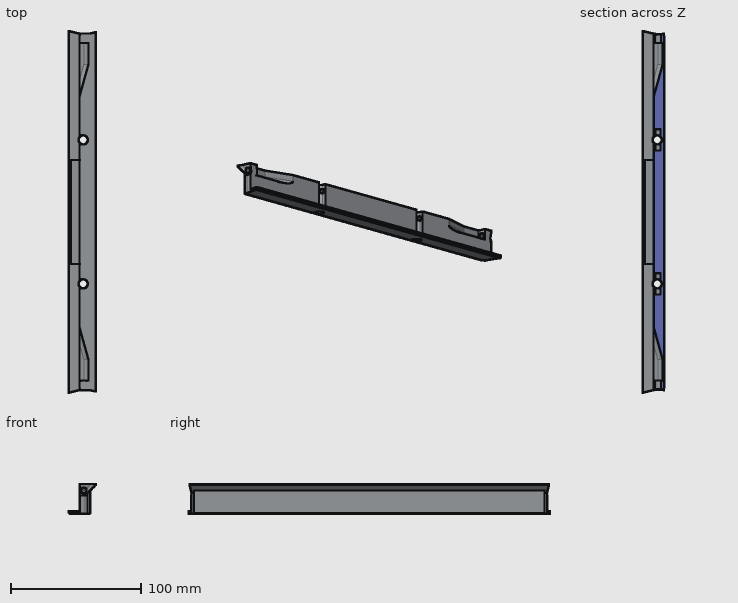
import cadquery as cq
import math

WIDTH = 21.0
LENGTH = 278.0
HEIGHT = 22.9
HALF_LENGTH = LENGTH / 2

FLANGE_THICKNESS = 2.0
FLANGE_CHAMFER = 1.1
WALL_LEFT = 8.4
WALL_RIGHT = 16.7
WALL_CHAMFER = 0.8
LIP_TIP = 0.6
LIP_OVERHANG = WIDTH - WALL_RIGHT
LIP_ROOT_Z = HEIGHT - LIP_TIP - LIP_OVERHANG

FOLD_LEFT = 12.5
FOLD_RIGHT = 14.2
FOLD_DROP = 2.5
WALL_DROP = 2.0
LIP_TIP_DROP = 0.85
GROOVE_BOTTOM_Z = 14.2
GROOVE_DEEPEST_Z = 16.5
GROOVE_TOP_DROP = 1.85
GROOVE_BOTTOM_DROP = 2.2
GROOVE_DEEPEST_DROP = 3.1

STEP_LEFT = 14.6
STEP_DROP = 4.2

CHANNEL_X = 11.7
CHANNEL_Z = 17.9
CHANNEL_WIDTH = 6.88
CHANNEL_RADIUS = CHANNEL_WIDTH / 2
POCKET_OUTER_Y = 129.7
POCKET_BEND_Y = 113.4
POCKET_TURN = 15.5
POCKET_TURN_LENGTH = 35.0
END_HOLE_DIAMETER = 4.4

SLOT_X = 11.2
SLOT_Y = 55.3
SLOT_WIDTH = 6.88
CROSS_HOLE_DIAMETER = 3.4
CROSS_HOLE_REACH = 8.0

RECESS_HALF_LENGTH = 40.0
RECESS_LEFT = 1.8
RECESS_DEPTH = 0.4
UNDERCUT_HEIGHT = 2.0
UNDERCUT_DEPTH = 1.2

OVERSHOOT = 5.0


def make_bar():
    """Extrude the cross-section along Y, centred on Y = 0."""
    outline = [
        (FLANGE_CHAMFER, 0),
        (WALL_RIGHT - WALL_CHAMFER, 0),
        (WALL_RIGHT, WALL_CHAMFER),
        (WALL_RIGHT, LIP_ROOT_Z),
        (WIDTH, HEIGHT - LIP_TIP),
        (WIDTH, HEIGHT),
        (WALL_LEFT, HEIGHT),
        (WALL_LEFT, FLANGE_THICKNESS),
        (0, FLANGE_THICKNESS),
        (0, FLANGE_CHAMFER),
    ]
    section = cq.Workplane("XZ").polyline(outline).close()
    return section.extrude(HALF_LENGTH, both=True)


def make_end_fold():
    """Upright prism beyond the +Y end, up to the groove: the end slopes inwards to a fold."""
    beyond = HALF_LENGTH + OVERSHOOT
    outline = [
        (0, HALF_LENGTH),
        (WALL_LEFT, HALF_LENGTH - WALL_DROP),
        (FOLD_LEFT, HALF_LENGTH - FOLD_DROP),
        (FOLD_RIGHT, HALF_LENGTH - FOLD_DROP),
        (WIDTH, HALF_LENGTH - LIP_TIP_DROP),
        (WIDTH, beyond),
        (0, beyond),
    ]
    return cq.Workplane("XY").polyline(outline).close().extrude(GROOVE_BOTTOM_Z)


def make_end_groove():
    """Cross groove above the fold, bounded on the right by the slope of the lip."""
    beyond = HALF_LENGTH + OVERSHOOT
    groove_outline = [
        (HALF_LENGTH - GROOVE_BOTTOM_DROP, GROOVE_BOTTOM_Z),
        (HALF_LENGTH - GROOVE_DEEPEST_DROP, GROOVE_DEEPEST_Z),
        (HALF_LENGTH - GROOVE_TOP_DROP, HEIGHT),
        (beyond, HEIGHT),
        (beyond, GROOVE_BOTTOM_Z),
    ]
    groove = cq.Workplane("YZ").polyline(groove_outline).close().extrude(WIDTH)
    lip_slope = (FOLD_DROP - LIP_TIP_DROP) / (WIDTH - FOLD_RIGHT)
    lip_limit_outline = [
        (0, HALF_LENGTH - LIP_TIP_DROP - lip_slope * WIDTH),
        (WIDTH, HALF_LENGTH - LIP_TIP_DROP),
        (WIDTH, beyond),
        (0, beyond),
    ]
    lip_limit = cq.Workplane("XY").polyline(lip_limit_outline).close().extrude(HEIGHT)
    return groove.intersect(lip_limit)


def make_end_step():
    """Notch in the right side of the wall at the +Y end, its top in line with the lip underside."""
    outline = [
        (STEP_LEFT, 0),
        (WALL_RIGHT, 0),
        (WALL_RIGHT, LIP_ROOT_Z),
        (STEP_LEFT, LIP_ROOT_Z - (WALL_RIGHT - STEP_LEFT)),
    ]
    section = cq.Workplane("XZ", origin=(0, HALF_LENGTH, 0)).polyline(outline).close()
    return section.extrude(STEP_DROP)


def make_channel_run(length):
    """Round-bottomed trough along -Y from the origin, open upwards and towards -X."""
    reach = -CHANNEL_X
    top = HEIGHT - CHANNEL_Z
    dip = CHANNEL_RADIUS * math.sqrt(0.5)
    return (
        cq.Workplane("XZ")
        .moveTo(reach, -CHANNEL_RADIUS)
        .lineTo(0, -CHANNEL_RADIUS)
        .threePointArc((dip, -dip), (CHANNEL_RADIUS, 0))
        .lineTo(CHANNEL_RADIUS, top)
        .lineTo(reach, top)
        .close()
        .extrude(length)
    )


def make_pocket():
    """Pocket near the +Y end: a straight run, then a mitred run that turns out through the wall face."""
    straight = make_channel_run(POCKET_OUTER_Y - POCKET_BEND_Y + OVERSHOOT)
    straight = straight.translate((0, POCKET_OUTER_Y - POCKET_BEND_Y, 0))
    turned = make_channel_run(POCKET_TURN_LENGTH + OVERSHOOT).translate((0, OVERSHOOT, 0))
    turned = turned.rotate((0, 0, 0), (0, 0, 1), -POCKET_TURN)
    outer_side = cq.Workplane("XY").box(LENGTH, LENGTH, LENGTH, centered=(True, False, True))
    outer_side = outer_side.rotate((0, 0, 0), (0, 0, 1), -POCKET_TURN / 2)
    pocket = straight.intersect(outer_side).union(turned.cut(outer_side))
    return pocket.translate((CHANNEL_X, POCKET_BEND_Y, CHANNEL_Z))


def make_channel_hole(diameter, y_start, y_end):
    """Round hole along Y on the channel axis."""
    return (
        cq.Workplane("XZ", origin=(CHANNEL_X, y_end, CHANNEL_Z))
        .circle(diameter / 2)
        .extrude(y_end - y_start)
    )


def make_screw_slot():
    """Upright round hole through wall and flange, open at the wall face above the flange."""
    plan = cq.Workplane("XY").center(SLOT_X, SLOT_Y)
    hole = plan.circle(SLOT_WIDTH / 2).extrude(HEIGHT)
    mouth = plan.workplane(offset=FLANGE_THICKNESS).center(-SLOT_X / 2, 0).rect(SLOT_X, SLOT_WIDTH)
    return hole.union(mouth.extrude(HEIGHT))


def make_recess():
    """Shallow flange recess that runs under a sloping undercut in the wall."""
    floor = FLANGE_THICKNESS - RECESS_DEPTH
    undercut_top = FLANGE_THICKNESS + UNDERCUT_HEIGHT
    outline = [
        (RECESS_LEFT, floor),
        (WALL_LEFT + UNDERCUT_DEPTH, floor),
        (WALL_LEFT, undercut_top),
        (RECESS_LEFT, undercut_top),
    ]
    return cq.Workplane("XZ").polyline(outline).close().extrude(RECESS_HALF_LENGTH, both=True)


def cut_both_halves(body, cutter):
    """Cut with a tool and with its mirror image across Y = 0."""
    return body.cut(cutter).cut(cutter.mirror("XZ"))


result = make_bar()
result = cut_both_halves(result, make_end_fold())
result = cut_both_halves(result, make_end_groove())
result = cut_both_halves(result, make_end_step())
result = cut_both_halves(result, make_pocket())
result = cut_both_halves(result, make_channel_hole(END_HOLE_DIAMETER, POCKET_OUTER_Y, HALF_LENGTH))
result = cut_both_halves(result, make_screw_slot())
result = cut_both_halves(
    result,
    make_channel_hole(CROSS_HOLE_DIAMETER, SLOT_Y - CROSS_HOLE_REACH, SLOT_Y + CROSS_HOLE_REACH),
)
result = result.cut(make_recess())